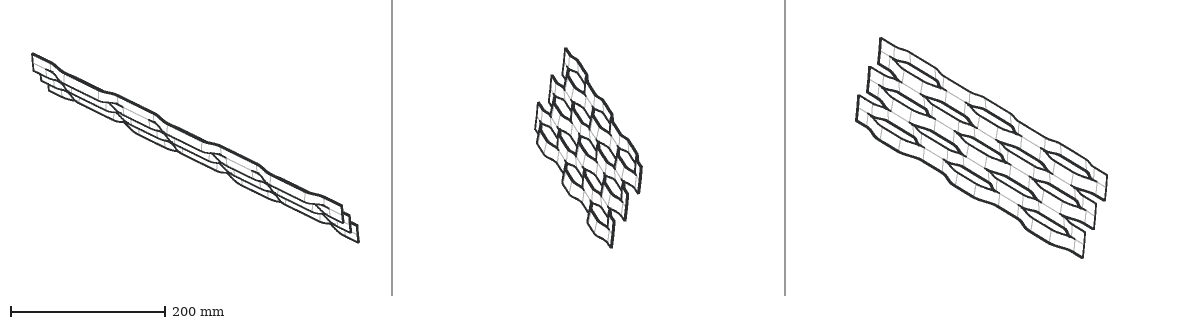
import cadquery as cq

LENGTH = 480.0
DEPTH = 57.5
HEIGHT = 108.0
CELLS = 3
PAIRS = 3
SHEET = 2.0

BAND_HEIGHT = HEIGHT / (2 * PAIRS)
PAIR_STEP = BAND_HEIGHT
CELL = LENGTH / CELLS

FRONT_RAMP = (28.0, 53.5)
BACK_RAMP = (20.0, 60.5)

LOWER_BOND_LEAN = 2.15

BOND_TOP = 6.5
BOND_MIDDLE = 8.0
BOND_BOTTOM = BOND_MIDDLE + LOWER_BOND_LEAN
FRONT_CREST_BOTTOM = 0.0
FRONT_CREST_TOP = DEPTH - PAIRS * PAIR_STEP - SHEET
BACK_CREST_TOP = 16.0
BACK_CREST_BOTTOM = FRONT_CREST_TOP + PAIR_STEP


def wave(sketch, bond_y, crest_y, ramp, direction):
    """Trace one wavy face along X; direction is +1 for rising X and -1 for falling X."""
    first = 0 if direction > 0 else LENGTH
    ramp_start, crest_start = ramp
    along = (direction, 0)
    for cell in range(CELLS):
        origin = first + direction * cell * CELL

        def at(distance, y):
            return (origin + direction * distance, y)

        sketch = sketch.lineTo(*at(ramp_start, bond_y))
        up = [at(ramp_start, bond_y), at(crest_start, crest_y)]
        sketch = sketch.spline(up, tangents=[along, along])
        sketch = sketch.lineTo(*at(CELL - crest_start, crest_y))
        down = [at(CELL - crest_start, crest_y), at(CELL - ramp_start, bond_y)]
        sketch = sketch.spline(down, tangents=[along, along])
        sketch = sketch.lineTo(*at(CELL, bond_y))
    return sketch


def section(z, bond_y, crest_y, ramp):
    """Closed outline of a band at one level."""
    sketch = cq.Workplane("XY", origin=(0, 0, z)).moveTo(0, bond_y)
    sketch = wave(sketch, bond_y, crest_y, ramp, 1)
    sketch = sketch.lineTo(LENGTH, bond_y + SHEET)
    sketch = wave(sketch, bond_y + SHEET, crest_y + SHEET, ramp, -1)
    return sketch.close().val()


def band(bottom_z, ramp, bottom, top):
    """Band ruled between its bottom and top outlines, each given as (bond Y, crest Y)."""
    lower = section(bottom_z, *bottom, ramp)
    upper = section(bottom_z + BAND_HEIGHT, *top, ramp)
    return cq.Solid.makeLoft([lower, upper], True)


JOINT_LEVEL = HEIGHT - BAND_HEIGHT
front_band = band(
    JOINT_LEVEL,
    FRONT_RAMP,
    (BOND_MIDDLE, FRONT_CREST_BOTTOM),
    (BOND_TOP, FRONT_CREST_TOP),
)
back_band = band(
    JOINT_LEVEL - BAND_HEIGHT,
    BACK_RAMP,
    (BOND_BOTTOM, BACK_CREST_BOTTOM),
    (BOND_MIDDLE, BACK_CREST_TOP),
)

strip = cq.Workplane("XY")
for pair in range(PAIRS):
    offset = cq.Vector(0, pair * PAIR_STEP, -2 * pair * BAND_HEIGHT)
    for sheet_band in (front_band, back_band):
        strip = strip.union(sheet_band.translate(offset))

result = strip